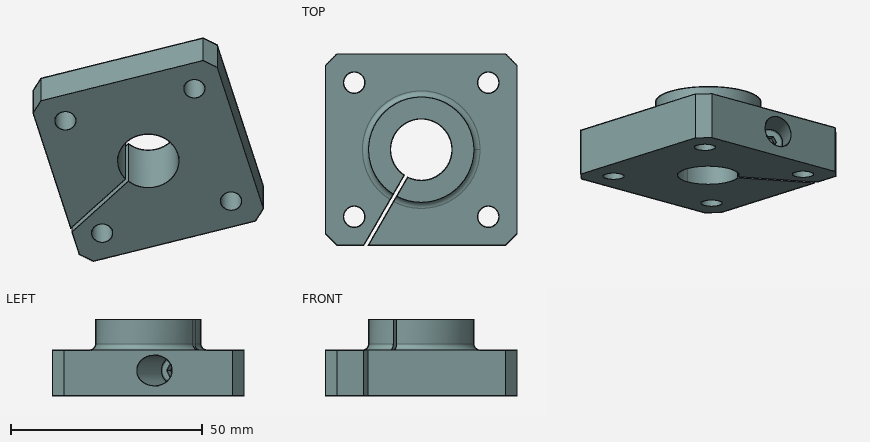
import cadquery as cq
import math

plate_side = 50.0
plate_height = 12.0
corner_chamfer = 3.0
mount_hole_diameter = 5.5
mount_hole_pitch = 35.0

total_height = 20.0
hub_diameter = 27.5
hub_fillet = 1.6
bore_diameter = 16.0

slit_width = 1.0
slit_angle = 240.0
slit_length = plate_side

screw_offset = 13.9
screw_height = 6.65
recess_diameter = 8.0
head_diameter = 7.0
head_height = 4.0
head_rim_fillet = 0.4
socket_across_flats = 3.0
socket_depth = 2.0
head_top_distance = 11.4


def make_flange():
    plate = (
        cq.Workplane("XY")
        .rect(plate_side, plate_side)
        .extrude(plate_height)
        .edges("|Z")
        .chamfer(corner_chamfer)
    )
    hub = cq.Workplane("XY").circle(hub_diameter / 2).extrude(total_height)
    hub_foot = cq.selectors.RadiusNthSelector(0)
    return (
        plate.union(hub)
        .faces(">Z[-2]")
        .edges("%CIRCLE")
        .edges(hub_foot)
        .fillet(hub_fillet)
    )


def make_vertical_holes():
    bore = cq.Workplane("XY").circle(bore_diameter / 2).extrude(total_height)
    mount_holes = (
        cq.Workplane("XY")
        .rarray(mount_hole_pitch, mount_hole_pitch, 2, 2)
        .circle(mount_hole_diameter / 2)
        .extrude(plate_height)
    )
    return bore.union(mount_holes)


def make_slit():
    return (
        cq.Workplane("XY")
        .box(slit_length, slit_width, total_height, centered=(False, True, False))
        .rotate((0, 0, 0), (0, 0, 1), slit_angle)
    )


def make_screw_head():
    """Screw head standing on Z = 0, with its hexagon socket facing +Z."""
    socket_corner_diameter = socket_across_flats / math.cos(math.pi / 6)
    return (
        cq.Workplane("XY")
        .circle(head_diameter / 2)
        .extrude(head_height)
        .faces(">Z")
        .edges()
        .fillet(head_rim_fillet)
        .faces(">Z")
        .workplane()
        .polygon(6, socket_corner_diameter)
        .cutBlind(-socket_depth)
    )


def make_screw_recess():
    """Open recess standing on Z = 0, less the screw head at its inner end."""
    recess_length = plate_side
    recess = cq.Workplane("XY").circle(recess_diameter / 2).extrude(recess_length)
    return recess.cut(make_screw_head())


def place_across_slit(body):
    """Turn a body's Z axis square to the slit and move it to the screw seat."""
    seat_distance = head_top_distance - head_height
    angle = math.radians(slit_angle)
    slit_direction = cq.Vector(math.cos(angle), math.sin(angle), 0)
    outward = cq.Vector(math.sin(angle), -math.cos(angle), 0)
    seat = slit_direction * screw_offset + outward * seat_distance + cq.Vector(0, 0, screw_height)
    seat_plane = cq.Plane(origin=seat, xDir=slit_direction, normal=outward)
    return cq.Workplane(obj=body.val().moved(cq.Location(seat_plane)))


screw_recess = place_across_slit(make_screw_recess())
result = make_flange().cut(make_vertical_holes()).cut(make_slit()).cut(screw_recess)